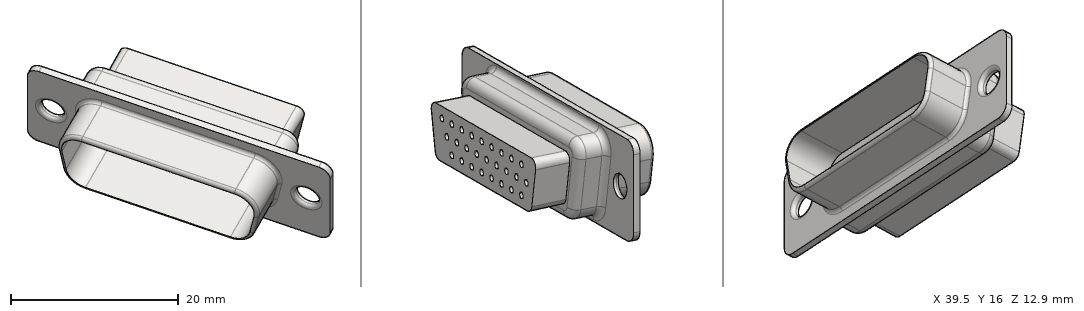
import cadquery as cq
import math

plate_width = 39.52
plate_height = 12.93
plate_thickness = 0.9
plate_corner_radius = 1.5

mount_hole_spacing = 33.3
mount_hole_diameter = 3.1
mount_hole_rounding = 0.5

side_slope = math.radians(10)

shell_width = 26.1
shell_height = 9.2
shell_length = 6.1
shell_corner_radius = 3.05
shell_wall = 0.48
shell_rim_rounding = 0.45
shell_root_fillet = 0.45
cavity_depth = 6.6

housing_width = 27.56
housing_height = 10.83
housing_length = 4.2
housing_corner_radius = 2.0
housing_edge_rounding = 1.2
housing_root_fillet = 0.8

block_width = 23.96
block_height = 6.97
block_draft = 0.5
block_corner_radius = 1.0
overall_depth = 15.97
block_length = overall_depth - shell_length - plate_thickness - housing_length

pin_diameter = 0.8
pin_pitch = 2.29
pin_row_spacing = 1.98
outer_row_start = -8.73
middle_row_start = outer_row_start - pin_pitch / 2
pin_rows = [
    (outer_row_start, pin_row_spacing, 9),
    (middle_row_start, 0, 9),
    (outer_row_start, -pin_row_spacing, 8),
]


def d_prism(width, height, radius, start_y, length, draft=0):
    """D-shaped prism running from start_y toward +Y and widening by the draft angle on every side.

    The width at start_y is taken across the upper corner arcs.
    """
    center_z = height / 2 - radius
    upper_center_x = width / 2 - radius
    lower_center_x = upper_center_x - 2 * center_z * math.tan(side_slope)

    def arc_point(center_x, sign_z, angle):
        """Point on a right-hand corner arc, at an angle above the horizontal."""
        return (center_x + radius * math.cos(angle), sign_z * center_z + radius * math.sin(angle))

    def mirrored(point):
        return (-point[0], point[1])

    quarter = math.pi / 2
    upper_top = arc_point(upper_center_x, 1, quarter)
    upper_middle = arc_point(upper_center_x, 1, (quarter - side_slope) / 2)
    upper_side = arc_point(upper_center_x, 1, -side_slope)
    lower_side = arc_point(lower_center_x, -1, -side_slope)
    lower_middle = arc_point(lower_center_x, -1, -(quarter + side_slope) / 2)
    lower_bottom = arc_point(lower_center_x, -1, -quarter)

    outline = (
        cq.Workplane("XZ", origin=(0, start_y, 0))
        .moveTo(*mirrored(upper_top))
        .lineTo(*upper_top)
        .threePointArc(upper_middle, upper_side)
        .lineTo(*lower_side)
        .threePointArc(lower_middle, lower_bottom)
        .lineTo(*mirrored(lower_bottom))
        .threePointArc(mirrored(lower_middle), mirrored(lower_side))
        .lineTo(*mirrored(upper_side))
        .threePointArc(mirrored(upper_middle), mirrored(upper_top))
        .close()
    )
    return outline.extrude(-length, taper=-draft)


def y_cylinders(points, diameter, start_y, end_y):
    """Cylinders along Y at the given (x, z) points."""
    plane = cq.Workplane("XZ", origin=(0, start_y, 0))
    return plane.pushPoints(points).circle(diameter / 2).extrude(start_y - end_y)


def edges_around(body, y, width, height, center=(0, 0)):
    """Edges lying in the plane at y, within a rectangle about the (x, z) center."""
    margin = 0.01
    x, z = center
    half_width = width / 2 + margin
    half_height = height / 2 + margin
    selector = cq.selectors.BoxSelector(
        (x - half_width, y - margin, z - half_height),
        (x + half_width, y + margin, z + half_height),
        boundingbox=True,
    )
    return body.edges(selector)


def make_plate():
    plate = cq.Workplane("XY").box(plate_width, plate_thickness, plate_height)
    plate = plate.translate((0, plate_thickness / 2, 0))
    return plate.edges("|Y").fillet(plate_corner_radius)


def add_shell(body):
    shell = d_prism(shell_width, shell_height, shell_corner_radius, -shell_length, shell_length)
    shell = shell.faces("<Y").edges().fillet(shell_rim_rounding)
    body = body.union(shell)
    return edges_around(body, 0, shell_width, shell_height).fillet(shell_root_fillet)


def add_housing(body):
    housing = d_prism(housing_width, housing_height, housing_corner_radius, plate_thickness, housing_length)
    housing = housing.faces(">Y").edges().fillet(housing_edge_rounding)
    body = body.union(housing)
    return edges_around(body, plate_thickness, housing_width, housing_height).fillet(housing_root_fillet)


def add_block(body):
    block_start = plate_thickness + housing_length
    block = d_prism(block_width, block_height, block_corner_radius, block_start, block_length, block_draft)
    return body.union(block)


def cut_cavity(body):
    cavity = d_prism(
        shell_width - 2 * shell_wall,
        shell_height - 2 * shell_wall,
        shell_corner_radius - shell_wall,
        -shell_length,
        cavity_depth,
    )
    return body.cut(cavity)


def cut_mount_holes(body):
    centers = [(side * mount_hole_spacing / 2, 0) for side in (-1, 1)]
    body = body.cut(y_cylinders(centers, mount_hole_diameter, 0, plate_thickness))
    for center in centers:
        rim = edges_around(body, 0, mount_hole_diameter, mount_hole_diameter, center)
        body = rim.fillet(mount_hole_rounding)
    return body


def cut_pin_holes(body):
    centers = [
        (start_x + i * pin_pitch, z)
        for start_x, z, count in pin_rows
        for i in range(count)
    ]
    return body.cut(y_cylinders(centers, pin_diameter, -shell_length, overall_depth - shell_length))


result = make_plate()
result = add_shell(result)
result = add_housing(result)
result = add_block(result)
result = cut_cavity(result)
result = cut_mount_holes(result)
result = cut_pin_holes(result)